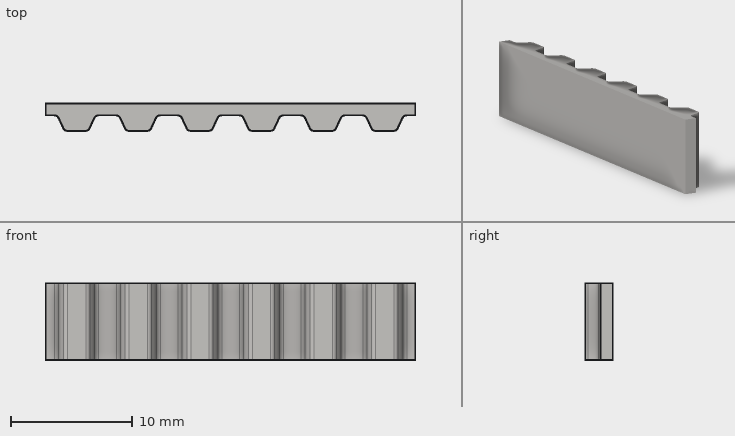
import cadquery as cq
import math

tooth_count = 6
length = 30.48
width = 6.35
total_thickness = 2.3
tooth_height = 1.28
middle_width = 2.55
flank_angle = 25.0
corner_radius = 0.37

pitch = length / tooth_count
root_y = tooth_height - total_thickness / 2
tip_y = -total_thickness / 2
back_y = total_thickness / 2
flank_run = tooth_height * math.tan(math.radians(flank_angle))
root_width = middle_width + flank_run
tip_width = middle_width - flank_run


def tooth_corners(center_x):
    """Sharp corners of one tooth, from left root to right root."""
    return [
        (center_x - root_width / 2, root_y),
        (center_x - tip_width / 2, tip_y),
        (center_x + tip_width / 2, tip_y),
        (center_x + root_width / 2, root_y),
    ]


corners = []
for index in range(tooth_count):
    corners += tooth_corners(-length / 2 + (index + 0.5) * pitch)

profile = [(-length / 2, back_y), (-length / 2, root_y)]
profile += corners
profile += [(length / 2, root_y), (length / 2, back_y)]

belt = cq.Workplane("XY").polyline(profile).close().extrude(width)

end_margin = 0.03
tooth_zone = cq.selectors.BoxSelector(
    (-length / 2 + end_margin, tip_y - end_margin, 0),
    (length / 2 - end_margin, root_y + end_margin, width),
)
result = belt.edges("|Z").edges(tooth_zone).fillet(corner_radius)